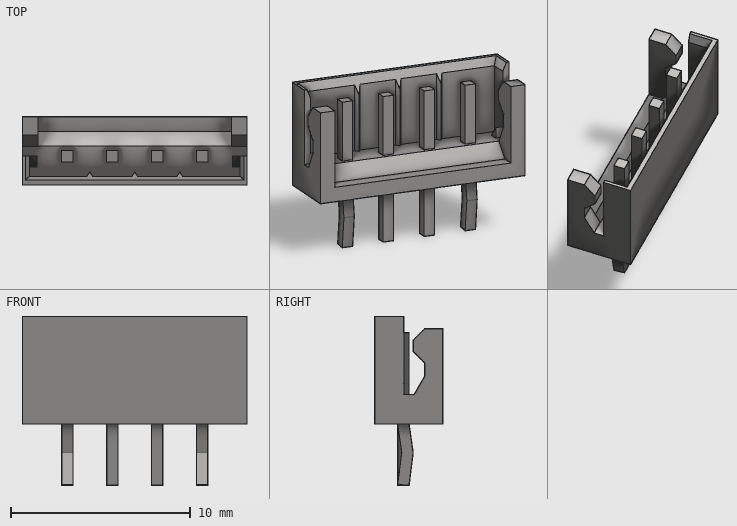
import cadquery as cq

length = 12.5
depth = 3.8
height = 6.0
floor_top = 1.66
shroud_depth = 1.62

front_wall = 0.49
side_wall = 0.39
bevel_width = 0.21
bevel_height = 0.5

rib_half_width = 0.16
rib_reach = 0.22

ramp_width = 0.42
ramp_size = 0.61

arm_width = 0.88
arm_height = 5.31
arm_front = 2.79
hook_front = 2.15
hook_top = 4.68
hook_bottom = 4.04
neck_top = 3.4
neck_bottom = 2.68
arm_foot = 2.2

ledge_slope_top = 2.18
ledge_slope_bottom = 2.99
ledge_height = floor_top - (ledge_slope_bottom - ledge_slope_top)

pin_count = 4
pin_pitch = 2.5
pin_size = 0.64
pin_front = 1.29
pin_back = pin_front + pin_size
pin_top = 5.1
pin_bottom = -3.4
kink_offset = 0.22
kink_height = -1.58
kinked_tip_rise = 0.06
pin_centers = [length / 2 + (i - (pin_count - 1) / 2) * pin_pitch for i in range(pin_count)]


def extrude_along_x(points, start, width):
    """Extrude a closed (y, z) outline along X from the given start."""
    return cq.Workplane("YZ").workplane(offset=start).polyline(points).close().extrude(width)


def box_between(x_range, y_range, z_range):
    size = [r[1] - r[0] for r in (x_range, y_range, z_range)]
    corner = (x_range[0], y_range[0], z_range[0])
    return cq.Workplane("XY").box(*size, centered=False).translate(corner)


def make_base():
    outline = [
        (0, 0),
        (depth, 0),
        (depth, ledge_height),
        (ledge_slope_bottom, ledge_height),
        (ledge_slope_top, floor_top),
        (0, floor_top),
    ]
    return extrude_along_x(outline, 0, length)


def make_shroud():
    shroud = box_between((0, length), (0, shroud_depth), (floor_top, height))
    cavity = box_between(
        (side_wall, length - side_wall), (front_wall, shroud_depth), (floor_top, height)
    )
    shroud = shroud.cut(cavity)

    for left, right in zip(pin_centers, pin_centers[1:]):
        middle = (left + right) / 2
        rib = (
            cq.Workplane("XY", origin=(middle, front_wall, floor_top))
            .polyline([(-rib_half_width, 0), (0, rib_reach), (rib_half_width, 0)])
            .close()
            .extrude(height - floor_top)
        )
        shroud = shroud.union(rib)

    slope = bevel_height / bevel_width
    front_bevel = [
        (front_wall - bevel_width, height),
        (shroud_depth, height),
        (shroud_depth, height - slope * (shroud_depth - front_wall + bevel_width)),
    ]
    side_bevel_start = side_wall - bevel_width
    front_cut = extrude_along_x(front_bevel, side_bevel_start, length - 2 * side_bevel_start)
    side_cut = (
        cq.Workplane("XZ")
        .polyline([
            (side_bevel_start, height),
            (length - side_bevel_start, height),
            (length / 2, height - slope * (length / 2 - side_bevel_start)),
        ])
        .close()
        .extrude(-shroud_depth)
    )
    return shroud.cut(front_cut.intersect(side_cut))


def make_ramp(start):
    outline = [
        (shroud_depth - ramp_size, floor_top),
        (shroud_depth, floor_top),
        (shroud_depth, floor_top + ramp_size),
    ]
    return extrude_along_x(outline, start, ramp_width)


def make_latch_arm(start):
    outline = [
        (shroud_depth, 0),
        (depth, 0),
        (depth, arm_height),
        (arm_front, arm_height),
        (hook_front, hook_top),
        (hook_front, hook_bottom),
        (arm_front, neck_top),
        (arm_front, neck_bottom),
        (arm_foot, floor_top),
        (shroud_depth, floor_top),
    ]
    return extrude_along_x(outline, start, arm_width)


def make_pin(center, kinked):
    outline = [(pin_front, pin_top), (pin_back, pin_top), (pin_back, 0)]
    if kinked:
        outline += [
            (pin_back + kink_offset, kink_height),
            (pin_back, pin_bottom),
            (pin_front, pin_bottom + kinked_tip_rise),
            (pin_front + kink_offset, kink_height),
        ]
    else:
        outline += [(pin_back, pin_bottom), (pin_front, pin_bottom)]
    outline.append((pin_front, 0))
    return extrude_along_x(outline, center - pin_size / 2, pin_size)


result = make_base().union(make_shroud())
for ramp_start in (side_wall, length - side_wall - ramp_width):
    result = result.union(make_ramp(ramp_start))
for arm_start in (0, length - arm_width):
    result = result.union(make_latch_arm(arm_start))
for pin_center in pin_centers:
    is_end_pin = pin_center in (pin_centers[0], pin_centers[-1])
    result = result.union(make_pin(pin_center, kinked=is_end_pin))